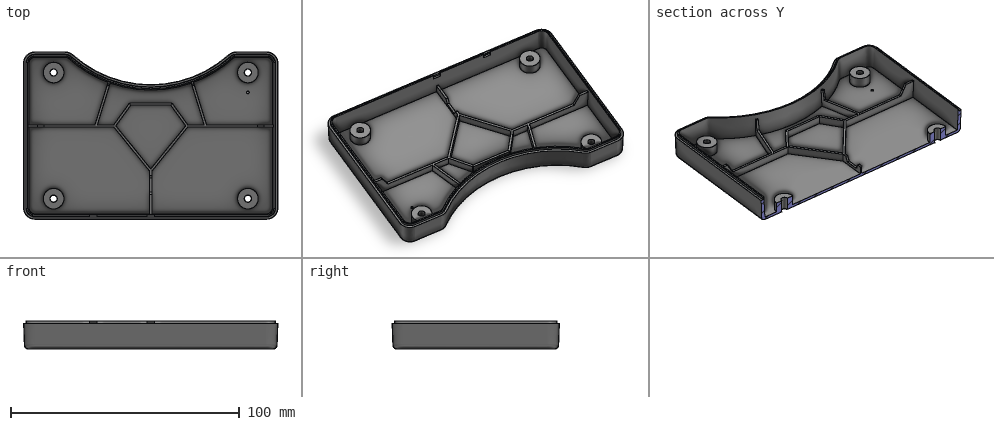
import cadquery as cq
import math

length = 111.2
width = 73.1
height = 12.3
corner_radius = 5.0
bottom_radius = 2.0
outer_draft_angle = 2.0
inner_draft_angle = 3.0

scoop_radius = 51.1
scoop_bottom_y = 22.2

wall = 1.8
floor = 1.6
lip_height = 1.0
lip_inset = 1.0
lip_draft_angle = 8.0
lip_gap_width = 3.5
lip_gap_depth = 2.0
gap_length = 1.6
lip_gap_positions = (-25.1, 0.0)

boss_x = 42.5
boss_y = 27.6
boss_diameter = 9.0
boss_height = 4.7
screw_diameter = 3.0
pin_hole_x = boss_x
pin_hole_y = 18.9
pin_hole_diameter = 1.0

rib_thickness = 1.0
rib_height = 3.7
cross_rib_y = 4.2
ring_side_x = 15.9
ring_top_x = 9.0
ring_top_y = 13.8
ring_tip_y = -15.3
brace_foot_x = 24.0
brace_head_x = 17.8
brace_head_y = 24.5

rib_end_height = 8.6
cross_ramp_start_x = 46.6
cross_ramp_end_x = 49.5
brace_ramp_start = 2.7
brace_ramp_end = 2.0

dip_height = 1.3
dip_rear_y = -17.3
dip_front_y = -24.7
dip_ramp = 1.1

rim_z = height - lip_height
half_length = length / 2
half_width = width / 2
scoop_centre_y = scoop_bottom_y + scoop_radius


def tray_outline(inset):
    """Rounded rectangle with the scoop, shrunk evenly by inset, as a face sketch."""
    radius = corner_radius - inset
    return (
        cq.Sketch()
        .rect(length - 2 * inset, width - 2 * inset)
        .push([(0, scoop_centre_y)])
        .circle(scoop_radius + inset, mode="s")
        .reset()
        .vertices()
        .fillet(radius)
        .reset()
    )


def tapered_block(inset, start_z, rise, taper):
    """Block extruded from start_z by rise (negative for down) that narrows by the taper angle."""
    return (
        cq.Workplane("XY", origin=(0, 0, start_z))
        .placeSketch(tray_outline(inset))
        .extrude(rise, taper=taper)
    )


def rib(start, end, profile):
    """Upright rib from start to end; profile lists (distance along rib, height)."""
    run_x = end[0] - start[0]
    run_y = end[1] - start[1]
    run = math.hypot(run_x, run_y)
    plane = cq.Plane(
        origin=(start[0], start[1], floor),
        xDir=(run_x, run_y, 0),
        normal=(run_y, -run_x, 0),
    )
    base = [(0, -floor / 2), (run, -floor / 2)]
    return cq.Workplane(plane).polyline(base + profile(run)).close().extrude(rib_thickness / 2, both=True)


def level(run):
    return [(run, rib_height), (0, rib_height)]


def raised_end(ramp_start, ramp_end):
    """Profile that climbs to the raised height between two distances from its end."""
    def profile(run):
        return [
            (run, rib_end_height),
            (run - ramp_end, rib_end_height),
            (run - ramp_start, rib_height),
            (0, rib_height),
        ]
    return profile


def dipped(run):
    rear = ring_tip_y - dip_rear_y
    front = ring_tip_y - dip_front_y
    return [
        (run, rib_height),
        (front + dip_ramp, rib_height),
        (front, dip_height),
        (rear + dip_ramp, dip_height),
        (rear, rib_height),
        (0, rib_height),
    ]


shell = tapered_block(0, rim_z, -rim_z, outer_draft_angle).faces("<Z").edges().fillet(bottom_radius)
lip = tapered_block(lip_inset, rim_z, lip_height, lip_draft_angle)
cavity = tapered_block(wall, height, floor - height, inner_draft_angle)
shell = shell.union(lip).cut(cavity)

for gap_x in lip_gap_positions:
    gap = cq.Workplane("XY").box(lip_gap_width, gap_length, lip_gap_depth)
    gap_y = -half_width + lip_inset + gap_length / 2
    shell = shell.cut(gap.translate((gap_x, gap_y, height - lip_gap_depth / 2)))

ring = [
    (-ring_top_x, ring_top_y),
    (ring_top_x, ring_top_y),
    (ring_side_x, cross_rib_y),
    (0, ring_tip_y),
    (-ring_side_x, cross_rib_y),
]
ribs = rib((0, ring_tip_y), (0, -half_width), dipped)
for start, end in zip(ring, ring[1:] + ring[:1]):
    ribs = ribs.union(rib(start, end, level))
for side in (-1, 1):
    cross_end = (side * half_length, cross_rib_y)
    cross_profile = raised_end(half_length - cross_ramp_start_x, half_length - cross_ramp_end_x)
    ribs = ribs.union(rib((side * ring_side_x, cross_rib_y), cross_end, cross_profile))
    brace_foot = (side * brace_foot_x, cross_rib_y)
    brace_head = (side * brace_head_x, brace_head_y)
    ribs = ribs.union(rib(brace_foot, brace_head, raised_end(brace_ramp_start, brace_ramp_end)))
ribs = ribs.intersect(tapered_block(wall / 2, rim_z, -rim_z, outer_draft_angle))

boss_points = [(x, y) for x in (-boss_x, boss_x) for y in (-boss_y, boss_y)]
bosses = cq.Workplane("XY", origin=(0, 0, floor / 2)).pushPoints(boss_points)
bosses = bosses.circle(boss_diameter / 2).extrude(floor / 2 + boss_height)

screw_holes = cq.Workplane("XY").pushPoints(boss_points).circle(screw_diameter / 2).extrude(height)
pin_hole = cq.Workplane("XY").center(pin_hole_x, pin_hole_y).circle(pin_hole_diameter / 2).extrude(height)

result = shell.union(ribs).union(bosses).cut(screw_holes).cut(pin_hole)